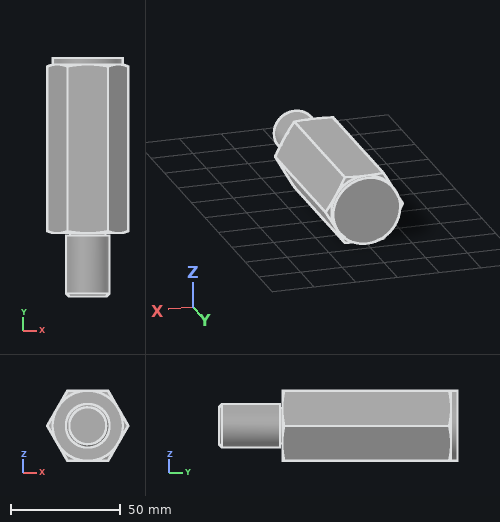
import cadquery as cq
import math

total_length = 109.0
across_flats = 32.0
across_corners = across_flats / math.cos(math.radians(30))
collar_length = 3.0
body_length = 80.0
stud_diameter = 20.0
tip_chamfer_length = 1.5
tip_chamfer_depth = 1.5
neck_diameter = 16.4
neck_length = 1.0
corner_chamfer_angle = 20.0

tip_y = -total_length / 2
collar_end_y = total_length / 2
hex_front_y = collar_end_y - body_length
hex_back_y = collar_end_y - collar_length
stud_end_y = hex_front_y - neck_length


def revolve_about_y(half_profile):
    """Revolve a closed (radius, y) outline about the Y axis."""
    return cq.Workplane("XY").polyline(half_profile).close().revolve(360, (0, 0), (0, 1))


def cylinder(diameter, start_y, end_y):
    radius = diameter / 2
    return revolve_about_y([(0, start_y), (radius, start_y), (radius, end_y), (0, end_y)])


def make_hexagon():
    """Hexagonal prism with flats facing +Z and -Z and conically trimmed corners."""
    prism = (
        cq.Workplane("XZ", origin=(0, hex_back_y, 0))
        .polygon(6, across_corners)
        .extrude(hex_back_y - hex_front_y)
    )
    face_radius = across_flats / 2
    corner_radius = across_corners / 2
    corner_drop = (corner_radius - face_radius) * math.tan(math.radians(corner_chamfer_angle))
    envelope = revolve_about_y([
        (0, hex_front_y),
        (face_radius, hex_front_y),
        (corner_radius, hex_front_y + corner_drop),
        (corner_radius, hex_back_y - corner_drop),
        (face_radius, hex_back_y),
        (0, hex_back_y),
    ])
    return prism.intersect(envelope)


def make_stud():
    """Cylindrical stud with a chamfered tip."""
    radius = stud_diameter / 2
    return revolve_about_y([
        (0, tip_y),
        (radius - tip_chamfer_depth, tip_y),
        (radius, tip_y + tip_chamfer_length),
        (radius, stud_end_y),
        (0, stud_end_y),
    ])


collar = cylinder(across_flats, hex_back_y, collar_end_y)
neck = cylinder(neck_diameter, stud_end_y, hex_front_y)

result = make_hexagon().union(collar).union(neck).union(make_stud())